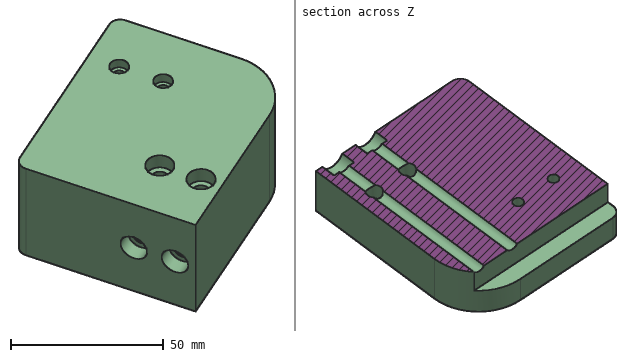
import cadquery as cq

length_x = 65.75
length_y = 76.8
height = 40.0
corner_radius = 4.0
nose_radius = 20.0

slot_depth = 6.45
slot_height = 20.5

large_bore = 5.7
large_counterbore = 9.6
large_counterbore_depth = 5.6
large_hole_pitch = 15.0
large_hole_edge_margin = 7.5
last_large_hole_x = length_x - large_hole_edge_margin
large_hole_xs = (last_large_hole_x - large_hole_pitch, last_large_hole_x)
large_hole_y = 20.1
large_hole_z = height / 2

small_bore = 3.8
small_counterbore = 6.5
small_counterbore_depth = 3.6
small_hole_pitch = 16.0
first_small_hole_x = 11.4
small_hole_xs = (first_small_hole_x, first_small_hole_x + small_hole_pitch)
small_hole_y = 56.3


def make_block():
    """Block with two small rounds on the left and a big one at the back right."""
    block = cq.Workplane("XY").box(length_x, length_y, height, centered=False)
    block = block.edges("|Z and <X").fillet(corner_radius)
    return block.edges("|Z and >X and >Y").fillet(nose_radius)


def make_slot():
    """Rectangular cutter centred on the block height and open at the back."""
    return (
        cq.Workplane("XY")
        .box(length_x, slot_depth, slot_height, centered=False)
        .translate((0, length_y - slot_depth, (height - slot_height) / 2))
    )


def make_hole(start, direction, span, bore, counterbore, counterbore_depth):
    """Cutter for a through hole whose counterbore opens at the start point."""
    through = cq.Solid.makeCylinder(bore / 2, span, start, direction)
    recess = cq.Solid.makeCylinder(counterbore / 2, counterbore_depth, start, direction)
    return cq.Workplane(through.fuse(recess))


down = cq.Vector(0, 0, -1)
backward = cq.Vector(0, 1, 0)

result = make_block().cut(make_slot())

large_hole = (large_bore, large_counterbore, large_counterbore_depth)
for x in large_hole_xs:
    top_start = cq.Vector(x, large_hole_y, height)
    front_start = cq.Vector(x, 0, large_hole_z)
    result = result.cut(make_hole(top_start, down, height, *large_hole))
    result = result.cut(make_hole(front_start, backward, length_y, *large_hole))

small_hole = (small_bore, small_counterbore, small_counterbore_depth)
for x in small_hole_xs:
    top_start = cq.Vector(x, small_hole_y, height)
    result = result.cut(make_hole(top_start, down, height, *small_hole))